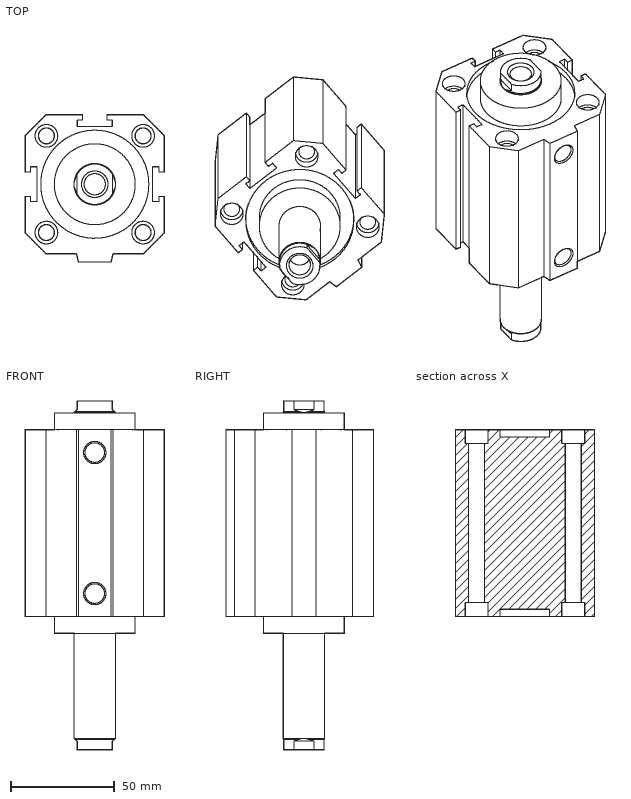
import cadquery as cq
import math


total_length = 168.0
mid_height = 109.2

body_width = 67.0
body_length = 90.0
corner_chamfer = 10.0

pad_height = 4.0
pad_base_width = 17.6
pad_face_width = 15.8

port_offset = 34.0
port_diameter = 9.4
port_mouth_diameter = 10.8
port_depth = 10.0

slot_mouth_width = 11.6
slot_inner_width = 16.6
slot_lip = 2.7
slot_depth = 5.7

bolt_spacing = 46.5
bolt_hole_diameter = 7.5
counterbore_diameter = 11.0
counterbore_depth = 6.7

boss_diameter = 39.0
boss_projection = 8.0
recess_diameter = 52.0
recess_depth = 3.5

rod_diameter = 20.0
tip_diameter = 19.5
tip_length = 5.0
shoulder_height = 0.5
tip_across_flats = 17.0
flat_length = 4.2
flat_runout = 1.3

thread_hole_diameter = 10.2
thread_mouth_diameter = 12.8
thread_hole_depth = 15.1
drill_point_angle = 118.0

body_bottom = mid_height - body_length / 2
half_body = body_width / 2


def cylinder(diameter, bottom, top):
    """Cylinder about the Z axis between two heights."""
    return cq.Workplane("XY").workplane(offset=bottom).circle(diameter / 2).extrude(top - bottom)


def mirrored_in_z(shape, height):
    """Copy of a shape reflected in the horizontal plane at a height."""
    return shape.mirror("XY", (0, 0, height))


def body_block():
    """Square bar with its four long corners chamfered."""
    block = cq.Workplane("XY").workplane(offset=body_bottom).rect(body_width, body_width)
    return block.extrude(body_length).edges("|Z").chamfer(corner_chamfer)


def port_pad():
    """Tapered rib along the -Y face."""
    return (
        cq.Workplane("XY")
        .workplane(offset=body_bottom)
        .moveTo(-pad_base_width / 2, -half_body)
        .lineTo(-pad_face_width / 2, -half_body - pad_height)
        .lineTo(pad_face_width / 2, -half_body - pad_height)
        .lineTo(pad_base_width / 2, -half_body)
        .close()
        .extrude(body_length)
    )


def t_slot(angle):
    """T-slot cutter of the +X face, turned about Z by an angle."""
    mouth = cq.Workplane("XY").box(slot_depth, slot_mouth_width, body_length)
    mouth = mouth.translate((half_body - slot_depth / 2, 0, mid_height))
    inner_depth = slot_depth - slot_lip
    inner = cq.Workplane("XY").box(inner_depth, slot_inner_width, body_length)
    inner = inner.translate((half_body - slot_depth + inner_depth / 2, 0, mid_height))
    return mouth.union(inner).rotate((0, 0, 0), (0, 0, 1), angle)


def mounting_holes():
    """Four through holes, counterbored from both ends."""
    plane = cq.Workplane("XY").workplane(offset=body_bottom)
    corners = plane.rect(bolt_spacing, bolt_spacing, forConstruction=True).vertices()
    through = corners.circle(bolt_hole_diameter / 2).extrude(body_length)
    bottom_bores = corners.circle(counterbore_diameter / 2).extrude(counterbore_depth)
    return through.union(bottom_bores).union(mirrored_in_z(bottom_bores, mid_height))


def port(height):
    """Blind port with a 45 degree mouth chamfer, bored from the pad face."""
    mouth_chamfer = (port_mouth_diameter - port_diameter) / 2
    pad_face = cq.Workplane("XZ", origin=(0, -half_body - pad_height, height))
    bore = pad_face.circle(port_diameter / 2).extrude(-port_depth)
    mouth = pad_face.circle(port_mouth_diameter / 2).extrude(-mouth_chamfer, taper=45)
    return bore.union(mouth)


def guide_boss():
    """Bottom boss, standing on the floor of its recess."""
    return cylinder(boss_diameter, body_bottom - boss_projection, body_bottom + recess_depth)


def end_recess():
    """Round recess around the bottom boss."""
    return cylinder(recess_diameter, body_bottom, body_bottom + recess_depth)


def make_housing():
    """Body with pad, bosses, slots, mounting holes, ports and the bore for the rod."""
    housing = body_block().union(port_pad())
    housing = housing.cut(end_recess()).cut(mirrored_in_z(end_recess(), mid_height))
    housing = housing.union(guide_boss()).union(mirrored_in_z(guide_boss(), mid_height))
    for angle in (0, 90, 180):
        housing = housing.cut(t_slot(angle))
    housing = housing.cut(mounting_holes())
    for offset in (-port_offset, port_offset):
        housing = housing.cut(port(mid_height + offset))
    return housing.cut(cylinder(rod_diameter, 0, total_length))


def rod_blank():
    """Turned rod: full diameter with a slightly thinner tip behind a conical shoulder at both ends."""
    rod_radius = rod_diameter / 2
    tip_radius = tip_diameter / 2
    shoulder = tip_length + shoulder_height
    return (
        cq.Workplane("XZ")
        .lineTo(tip_radius, 0)
        .lineTo(tip_radius, tip_length)
        .lineTo(rod_radius, shoulder)
        .lineTo(rod_radius, total_length - shoulder)
        .lineTo(tip_radius, total_length - tip_length)
        .lineTo(tip_radius, total_length)
        .lineTo(0, total_length)
        .close()
        .revolve(360, (0, 0, 0), (0, 1, 0))
    )


def tip_flat():
    """Cutter for the +X flat of the bottom tip, with a sloped run-out at its upper end."""
    flat_position = tip_across_flats / 2
    rod_radius = rod_diameter / 2
    return (
        cq.Workplane("XZ")
        .moveTo(flat_position, 0)
        .lineTo(flat_position, flat_length)
        .lineTo(rod_radius, flat_length + flat_runout)
        .lineTo(rod_radius, 0)
        .close()
        .extrude(rod_radius, both=True)
    )


def thread_hole():
    """Drilled hole in the bottom tip, with a chamfered mouth and a conical end."""
    hole_radius = thread_hole_diameter / 2
    mouth_radius = thread_mouth_diameter / 2
    point_length = hole_radius / math.tan(math.radians(drill_point_angle / 2))
    return (
        cq.Workplane("XZ")
        .lineTo(mouth_radius, 0)
        .lineTo(hole_radius, mouth_radius - hole_radius)
        .lineTo(hole_radius, thread_hole_depth)
        .lineTo(0, thread_hole_depth + point_length)
        .close()
        .revolve(360, (0, 0, 0), (0, 1, 0))
    )


def make_rod():
    """Rod with two flats and a threaded hole at each end."""
    flat = tip_flat()
    end_cuts = thread_hole().union(flat).union(flat.mirror("YZ"))
    return rod_blank().cut(end_cuts).cut(mirrored_in_z(end_cuts, total_length / 2))


housing = make_housing()
rod = make_rod()

result = cq.Compound.makeCompound([housing.val(), rod.val()])